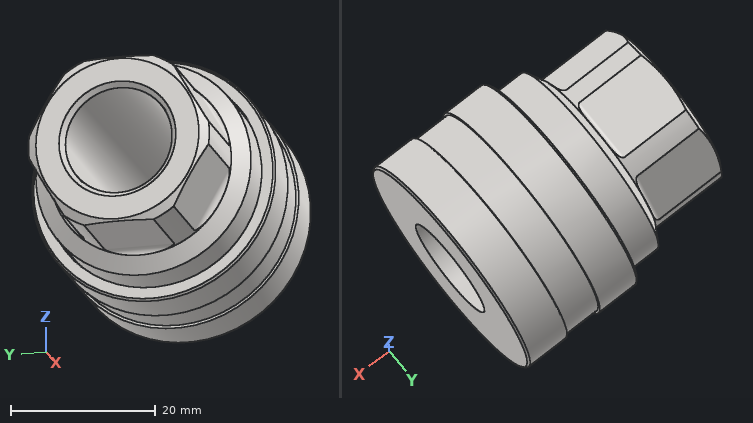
import cadquery as cq
import math

total_length = 38.6
slope_angle = 30.0

bore_diameter = 15.32
bore_mouth_diameter = 16.8

hex_rounded_diameter = 26.0
hex_across_flats = 24.0
hex_flat_count = 6
hex_face_diameter = 23.43
flat_end_x = 11.6
flat_runout_radius = 0.9

neck_diameter = 30.9
sleeve_start_x = 19.15

sleeve_diameter = 35.0
sleeve_chamfer = 0.3
sleeve_mouth_diameter = 31.2
sleeve_gap_depth = 1.93
groove_diameter = 34.2
groove_start_x = 25.95
groove_end_x = 31.75

slope = math.tan(math.radians(slope_angle))
hex_chamfer_length = (hex_rounded_diameter - hex_face_diameter) / 2 * slope
shoulder_x = flat_end_x + flat_runout_radius
shoulder_cone_length = (neck_diameter - hex_rounded_diameter) / 2 * slope
bore_chamfer = (bore_mouth_diameter - bore_diameter) / 2


def make_body():
    """Revolve the outer steps around X: wrench end, shoulder cone, neck and grooved sleeve.

    A narrow ring gap separates the neck from the mouth of the sleeve.
    """
    hex_radius = hex_rounded_diameter / 2
    neck_radius = neck_diameter / 2
    sleeve_radius = sleeve_diameter / 2
    sleeve_mouth_radius = sleeve_mouth_diameter / 2
    groove_radius = groove_diameter / 2
    outline = [
        (0, 0),
        (0, hex_face_diameter / 2),
        (hex_chamfer_length, hex_radius),
        (shoulder_x, hex_radius),
        (shoulder_x + shoulder_cone_length, neck_radius),
        (sleeve_start_x + sleeve_gap_depth, neck_radius),
        (sleeve_start_x + sleeve_gap_depth, sleeve_mouth_radius),
        (sleeve_start_x, sleeve_mouth_radius),
        (sleeve_start_x, sleeve_radius - sleeve_chamfer),
        (sleeve_start_x + sleeve_chamfer, sleeve_radius),
        (groove_start_x, sleeve_radius),
        (groove_start_x, groove_radius),
        (groove_end_x, groove_radius),
        (groove_end_x, sleeve_radius),
        (total_length - sleeve_chamfer, sleeve_radius),
        (total_length, sleeve_radius - sleeve_chamfer),
        (total_length, 0),
    ]
    return cq.Workplane("XY").polyline(outline).close().revolve(360, (0, 0, 0), (1, 0, 0))


def make_flat_cutter():
    """Block that mills the +Z wrench flat and leaves a concave run-out at the shoulder."""
    flat_z = hex_across_flats / 2
    top_z = hex_rounded_diameter / 2 + flat_runout_radius
    arc_step = flat_runout_radius * math.sin(math.radians(45))
    arc_center_z = flat_z + flat_runout_radius
    return (
        cq.Workplane("XZ")
        .moveTo(0, flat_z)
        .lineTo(flat_end_x, flat_z)
        .threePointArc(
            (flat_end_x + arc_step, arc_center_z - arc_step),
            (shoulder_x, arc_center_z),
        )
        .lineTo(shoulder_x, top_z)
        .lineTo(0, top_z)
        .close()
        .extrude(hex_rounded_diameter / 2, both=True)
    )


def make_bore():
    """Through bore with a 45 degree chamfer at the wrench-end mouth."""
    outline = [
        (0, 0),
        (0, bore_mouth_diameter / 2),
        (bore_chamfer, bore_diameter / 2),
        (total_length, bore_diameter / 2),
        (total_length, 0),
    ]
    return cq.Workplane("XY").polyline(outline).close().revolve(360, (0, 0, 0), (1, 0, 0))


result = make_body()
flat_cutter = make_flat_cutter()
for index in range(hex_flat_count):
    angle = index * 360 / hex_flat_count
    result = result.cut(flat_cutter.rotate((0, 0, 0), (1, 0, 0), angle))
result = result.cut(make_bore())